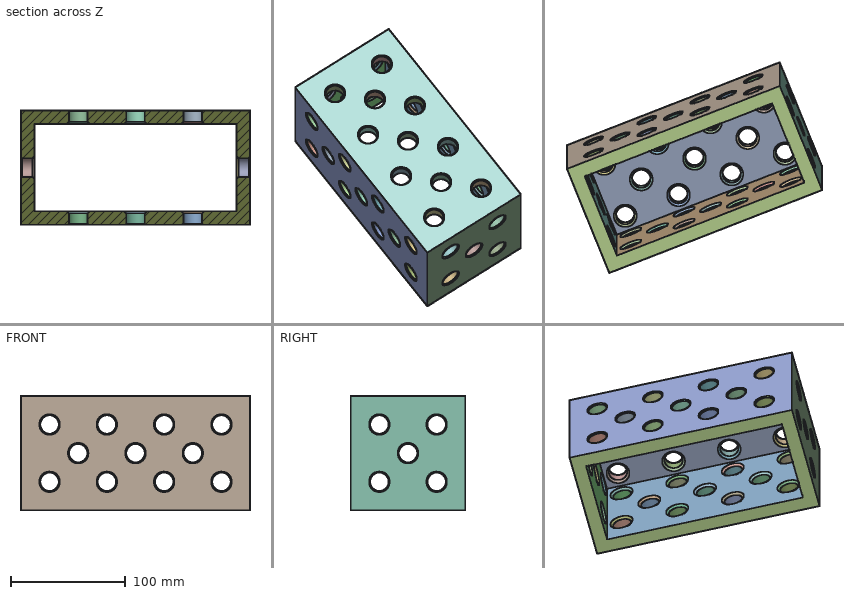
import cadquery as cq
length = 200.0
width = 100.0
height = 100.0
wall = 12.0

pitch = 50.0
hole_diameter = 16.0
outer_chamfer = 1.0
inner_chamfer = 2.0


def open_box():
    """Hollow box with equal walls at the sides and top and no floor."""
    block = cq.Workplane("XY").box(length, width, height)
    cavity = cq.Workplane("XY").box(length - 2 * wall, width - 2 * wall, height)
    return block.cut(cavity.translate((0, 0, -wall)))


def grid_row(count):
    """Positions of a centred row of holes spaced one pitch apart."""
    return [(i - (count - 1) / 2) * pitch for i in range(count)]


def staggered_points(span_u, span_v):
    """Hole centres on a face: the grid corners plus the cell centres."""
    count_u = round(span_u / pitch)
    count_v = round(span_v / pitch)
    corners = [(u, v) for u in grid_row(count_u) for v in grid_row(count_v)]
    centres = [(u, v) for u in grid_row(count_u - 1) for v in grid_row(count_v - 1)]
    return corners + centres


def wall_hole():
    """Cutter along Z for one wall, from its outer face at Z = 0, chamfered at both mouths."""
    radius = hole_diameter / 2
    profile = [
        (0, 0),
        (radius + outer_chamfer, 0),
        (radius, -outer_chamfer),
        (radius, inner_chamfer - wall),
        (radius + inner_chamfer, -wall),
        (0, -wall),
    ]
    return cq.Workplane("XZ").polyline(profile).close().revolve(360, (0, 0), (0, 1)).val()


def drill_wall(body, origin, outward, span_u, span_v):
    """Cut the staggered pattern through the wall whose outer face is centred at the origin."""
    along = (0, 1, 0) if outward[0] else (1, 0, 0)
    face = cq.Plane(origin=origin, xDir=along, normal=outward)
    cutter = wall_hole()
    for u, v in staggered_points(span_u, span_v):
        hole = cutter.moved(face.location * cq.Location((u, v, 0)))
        body = body.cut(cq.Workplane(hole))
    return body


result = open_box()
result = drill_wall(result, (0, 0, height / 2), (0, 0, 1), length, width)
for side in (-1, 1):
    result = drill_wall(result, (0, side * width / 2, 0), (0, side, 0), length, height)
    result = drill_wall(result, (side * length / 2, 0, 0), (side, 0, 0), width, height)